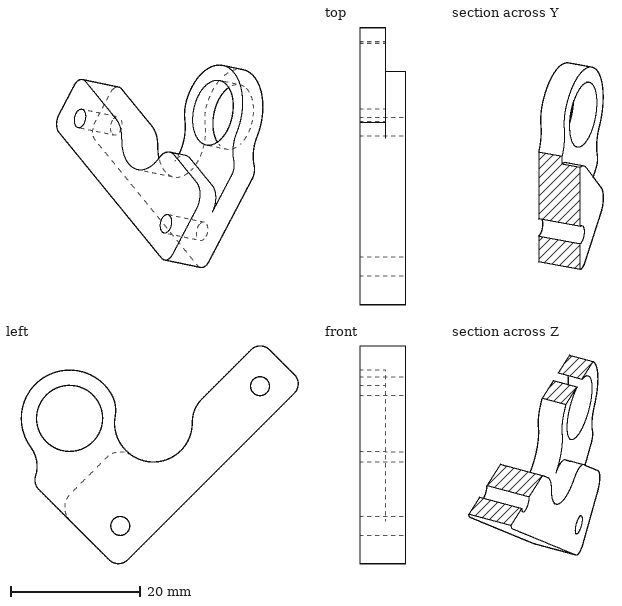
import cadquery as cq
import math


RING_THICKNESS = 4.0
FULL_THICKNESS = 7.1
TILT = 45.0

SCREW_DIAMETER = 2.9
SCREW_PITCH = 30.6
OUTER_EDGE = -4.53
INNER_EDGE = 4.97
HEEL_END = -4.93
ARM_END = 35.64
CORNER_RADIUS = 2.0

RING_CENTRE = (17.32, 6.23)
RING_RADIUS = 7.5
BORE_DIAMETER = 10.2
RING_TIP_RADIUS = 5.0

VALLEY_CENTRE = (7.62, 14.88)
VALLEY_RADIUS = 6.0
ARM_BLEND_RADIUS = 5.0

HEEL_EDGE = 14.95
RELIEF_RADIUS = 5.0

PAD_EDGE = 8.97
PAD_RADIUS = 3.0


def toward(start, target, distance):
    """Point at a distance from start, on the ray through target."""
    ratio = distance / math.dist(start, target)
    return (
        start[0] + ratio * (target[0] - start[0]),
        start[1] + ratio * (target[1] - start[1]),
    )


def circles_meet(first, first_radius, second, second_radius):
    """Crossing of two circles that lies to the left of the ray first -> second."""
    span = math.dist(first, second)
    reach = (span**2 + first_radius**2 - second_radius**2) / (2 * span)
    offset = math.sqrt(first_radius**2 - reach**2)
    foot = toward(first, second, reach)
    step_x = (second[0] - first[0]) / span
    step_y = (second[1] - first[1]) / span
    return (foot[0] - offset * step_y, foot[1] + offset * step_x)


def arc(centre, start, end, is_major=False):
    """Start, middle and end points of the shorter (or longer) arc about a centre."""
    chord_middle = ((start[0] + end[0]) / 2, (start[1] + end[1]) / 2)
    radius = math.dist(centre, start)
    middle = toward(centre, chord_middle, -radius if is_major else radius)
    return start, middle, end


def corner(across_edge, across_side, along_edge, along_side, radius, across_first):
    """Round between a side and an end; each sign points out of the part."""
    centre = (across_edge - across_side * radius, along_edge - along_side * radius)
    on_side = (across_edge, centre[1])
    on_end = (centre[0], along_edge)
    if across_first:
        return arc(centre, on_side, on_end)
    return arc(centre, on_end, on_side)


def blend_from_valley(edge, radius, direction):
    """Centre of a round touching the valley and a straight side of the part."""
    across = edge - radius
    reach = math.sqrt((VALLEY_RADIUS + radius) ** 2 - (across - VALLEY_CENTRE[0]) ** 2)
    return (across, VALLEY_CENTRE[1] + direction * reach)


def arm_arcs():
    """Arcs shared by both layers, from the valley round the arm to the heel."""
    arm_blend = blend_from_valley(INNER_EDGE, ARM_BLEND_RADIUS, 1)
    valley_end = toward(VALLEY_CENTRE, arm_blend, VALLEY_RADIUS)
    return [
        arc(arm_blend, valley_end, (INNER_EDGE, arm_blend[1])),
        corner(INNER_EDGE, 1, ARM_END, 1, CORNER_RADIUS, True),
        corner(OUTER_EDGE, -1, ARM_END, 1, CORNER_RADIUS, False),
        corner(OUTER_EDGE, -1, HEEL_END, -1, CORNER_RADIUS, True),
    ]


def ring_layer_arcs():
    """Closed outline of the layer that carries the ring."""
    arm = arm_arcs()
    valley_end = arm[0][0]

    tip = circles_meet(
        VALLEY_CENTRE, VALLEY_RADIUS + RING_TIP_RADIUS,
        RING_CENTRE, RING_RADIUS - RING_TIP_RADIUS,
    )
    tip_start = toward(RING_CENTRE, tip, RING_RADIUS)
    valley_start = toward(VALLEY_CENTRE, tip, VALLEY_RADIUS)

    heel = (HEEL_EDGE - CORNER_RADIUS, HEEL_END + CORNER_RADIUS)
    relief = circles_meet(
        RING_CENTRE, RING_RADIUS + RELIEF_RADIUS,
        heel, CORNER_RADIUS + RELIEF_RADIUS,
    )
    heel_end = toward(heel, relief, CORNER_RADIUS)
    ring_start = toward(RING_CENTRE, relief, RING_RADIUS)

    return arm + [
        arc(heel, (heel[0], HEEL_END), heel_end),
        arc(relief, heel_end, ring_start),
        arc(RING_CENTRE, ring_start, tip_start, is_major=True),
        arc(tip, tip_start, valley_start),
        arc(VALLEY_CENTRE, valley_start, valley_end, is_major=True),
    ]


def pad_arcs():
    """Closed outline of the full-thickness pad, without the ring."""
    arm = arm_arcs()
    valley_end = arm[0][0]
    pad_blend = blend_from_valley(PAD_EDGE, PAD_RADIUS, -1)
    valley_start = toward(VALLEY_CENTRE, pad_blend, VALLEY_RADIUS)
    return arm + [
        corner(PAD_EDGE, 1, HEEL_END, -1, PAD_RADIUS, False),
        arc(pad_blend, (PAD_EDGE, pad_blend[1]), valley_start),
        arc(VALLEY_CENTRE, valley_start, valley_end),
    ]


def layer(arcs, thickness):
    """Plate bounded by arcs in order, with straight sides across any gap."""
    gap_tolerance = 1e-6
    position = arcs[0][0]
    outline = cq.Workplane("YZ").moveTo(*position)
    for start, middle, end in arcs:
        if math.dist(position, start) > gap_tolerance:
            outline = outline.lineTo(*start)
        outline = outline.threePointArc(middle, end)
        position = end
    return outline.close().extrude(thickness)


def hole(centre, diameter):
    """Cutter for a hole through the full thickness."""
    return cq.Workplane("YZ").center(*centre).circle(diameter / 2).extrude(FULL_THICKNESS)


body = layer(ring_layer_arcs(), RING_THICKNESS).union(layer(pad_arcs(), FULL_THICKNESS))
body = body.cut(hole(RING_CENTRE, BORE_DIAMETER))
for along in (0, SCREW_PITCH):
    body = body.cut(hole((0, along), SCREW_DIAMETER))

result = body.rotate((0, 0, 0), (1, 0, 0), TILT)